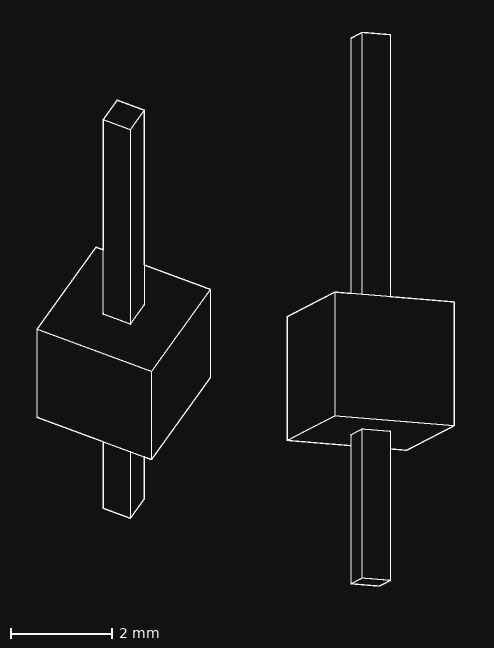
import cadquery as cq

pin_length = 11.0
pin_width = 0.6
housing_width = 2.54
housing_height = 2.5
pin_above_housing = 5.5

pin_below_housing = pin_length - pin_above_housing - housing_height


def square_bar(width, height, bottom):
    """Square bar centred on the Z axis, rising from the given bottom level."""
    return cq.Workplane("XY").workplane(offset=bottom).rect(width, width).extrude(height)


def make_pin():
    """Straight square pin that passes right through the housing."""
    return square_bar(pin_width, pin_length, -pin_below_housing)


def make_housing():
    """Square block with a through hole that fits the pin."""
    block = square_bar(housing_width, housing_height, 0)
    pin_hole = square_bar(pin_width, housing_height, 0)
    return block.cut(pin_hole)


pin = make_pin()
housing = make_housing()

result = cq.Compound.makeCompound([housing.val(), pin.val()])